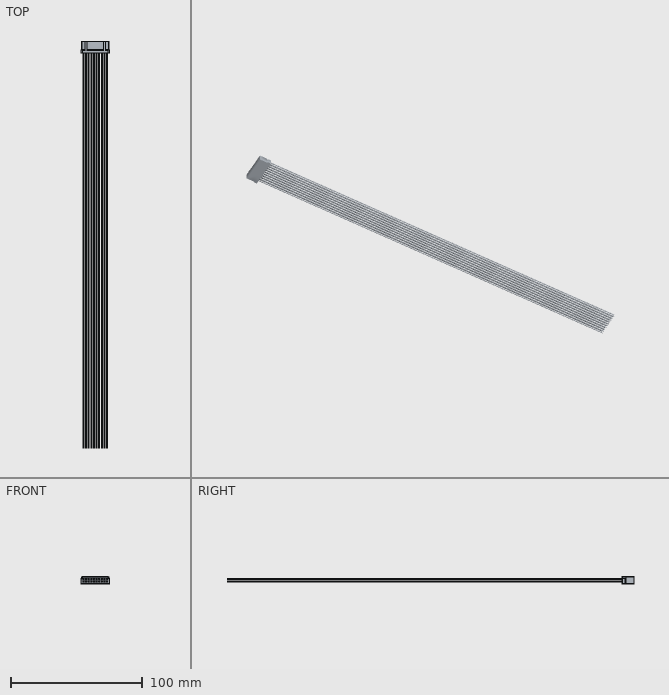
import cadquery as cq

wires_per_row = 10
row_count = 2
wire_pitch = 2.0
row_pitch = 2.0
wire_diameter = 0.75
wire_length = 300.0

housing_width = 22.0
housing_length = 9.0
housing_height = 5.5

ear_length = 2.9
ear_flare_length = 0.9
ear_overhang = 0.6
ear_width = 1.35
ear_height = 4.1

bar_length = 1.9
ramp_length = 0.9
deck_drop = 0.5
rib_spacing = 12.2
rib_width = 1.8

body_width = housing_width - 2 * ear_overhang
ramp_front = bar_length + ramp_length
deck_height = housing_height - deck_drop


def block(width, length, z_bottom, height, x_center):
    """Box centred on x_center, reaching forward from the rear face and up from z_bottom."""
    box = cq.Workplane("XY").box(width, length, height, centered=(True, False, False))
    return box.translate((x_center, 0, z_bottom))


def ear():
    """Ear on the +X side, flaring outward toward the rear."""
    outer = housing_width / 2
    inner = outer - ear_width
    outline = [
        (inner, 0),
        (outer, 0),
        (outer, ear_length - ear_flare_length),
        (body_width / 2, ear_length),
        (inner, ear_length),
    ]
    return cq.Workplane("XY").polyline(outline).close().extrude(ear_height)


def ear_clearance():
    """Space above the +X ear."""
    x_center = (housing_width - ear_width) / 2
    return block(ear_width, ear_length, ear_height, housing_height - ear_height, x_center)


def stepped_body():
    """Housing block whose top drops down the ramp from the rear bar to the deck."""
    profile = [
        (0, 0),
        (0, housing_height),
        (bar_length, housing_height),
        (ramp_front, deck_height),
        (housing_length, deck_height),
        (housing_length, 0),
    ]
    return cq.Workplane("YZ").polyline(profile).close().extrude(body_width / 2, both=True)


def rib():
    """Full-height rib on the +X side of the latch area, running from the rear bar to the mating end."""
    x_center = (rib_spacing + rib_width) / 2
    return block(rib_width, housing_length, 0, housing_height, x_center)


def both_sides(shape):
    """The +X shape together with its mirror image on the -X side."""
    return shape.union(shape.mirror("YZ"))


def housing():
    """Connector housing with its ribs and ears."""
    body = stepped_body().union(both_sides(rib()))
    return body.cut(both_sides(ear_clearance())).union(both_sides(ear()))


def wires():
    """Two rows of straight round wires running rearward from the housing."""
    centers = cq.Workplane("XZ", origin=(0, 0, housing_height / 2))
    centers = centers.rarray(wire_pitch, row_pitch, wires_per_row, row_count)
    return centers.circle(wire_diameter / 2).extrude(wire_length)


result = housing().union(wires())